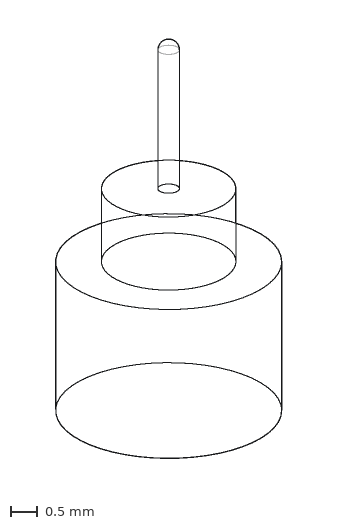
import cadquery as cq

total_height = 7.6
body_diameter = 4.2
body_height = 3.055
neck_diameter = 2.5
neck_height = 1.5
pin_diameter = 0.4

neck_top = body_height + neck_height
pin_height = total_height - neck_top
tip_radius = pin_diameter / 2


def make_body():
    """Wide base cylinder standing on Z = 0."""
    return cq.Workplane("XY").circle(body_diameter / 2).extrude(body_height)


def make_neck():
    """Narrower collar on top of the body."""
    return cq.Workplane("XY", origin=(0, 0, body_height)).circle(neck_diameter / 2).extrude(neck_height)


def make_pin():
    """Slender pin ending in a hemispherical tip."""
    shank_height = pin_height - tip_radius
    shank = cq.Workplane("XY", origin=(0, 0, neck_top)).circle(tip_radius).extrude(shank_height)
    tip = cq.Workplane("XY", origin=(0, 0, neck_top + shank_height)).sphere(tip_radius)
    return shank.union(tip)


result = make_body().union(make_neck()).union(make_pin())